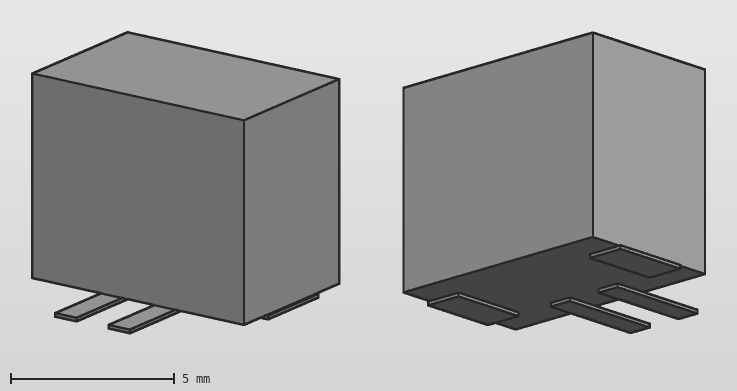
import cadquery as cq

housing_width = 7.95
housing_depth = 5.01
housing_height = 6.58

overall_width = 8.08
terminal_thickness = 0.12

pin_width = 0.8
pin_pitch = 2.0
pin_overhang = 2.39

pad_width = 1.285
pad_length = 2.67
pad_back_inset = 1.17

housing_front = -housing_depth / 2
pad_back = housing_depth / 2 - pad_back_inset
pad_front = pad_back - pad_length
pin_front = housing_front - pin_overhang
pin_length = pad_front - pin_front


def make_housing():
    return cq.Workplane("XY").box(
        housing_width, housing_depth, housing_height, centered=(True, True, False)
    )


def make_terminal(center_x, front_y, width, length):
    """Flat strip whose top face touches the underside of the housing."""
    return (
        cq.Workplane("XY")
        .box(width, length, terminal_thickness, centered=(True, False, False))
        .translate((center_x, front_y, -terminal_thickness))
    )


def make_pin(side):
    return make_terminal(side * pin_pitch / 2, pin_front, pin_width, pin_length)


def make_pad(side):
    return make_terminal(side * (overall_width - pad_width) / 2, pad_front, pad_width, pad_length)


housing = make_housing()
pins = [make_pin(side).val() for side in (-1, 1)]
pads = [make_pad(side).val() for side in (-1, 1)]

result = cq.Compound.makeCompound([housing.val(), *pins, *pads])